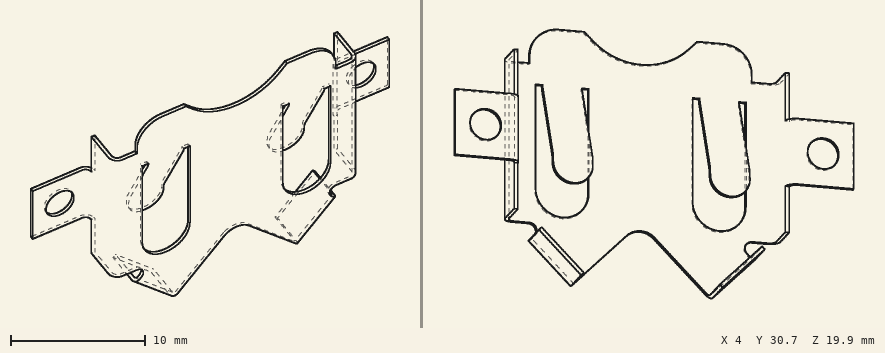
import cadquery as cq
import math

SHEET = 0.3
OVERALL_WIDTH = 30.7
OVERALL_HEIGHT = 19.94

TOP_Z = 9.08
SHOULDER_Y = 8.55
SHOULDER_RADIUS = 2.2
TOP_NOTCH_FLOOR_Z = 6.9
TOP_NOTCH_RADIUS = 5.25
BOTTOM_NOTCH_ROOF_Z = -6.03
BOTTOM_NOTCH_RADIUS = 1.5
RELIEF_RADIUS = 0.57

WALL_OUTER_Y = 10.6
WALL_TOP_Z = 6.28
WALL_BOTTOM_Z = -6.12
WALL_BEND_RADIUS = 0.48
TAB_END_Y = OVERALL_WIDTH / 2
TAB_FACE_HEIGHT = 4.0
TAB_WIDTH = 5.1
TAB_HOLE_Y = 13.0
TAB_HOLE_DIAMETER = 2.4

BOTTOM_Z = TOP_Z - OVERALL_HEIGHT
FOOT_WIDTH = 4.6
FOOT_HEIGHT = 3.27
FOOT_BEND_RADIUS = 0.25

WINDOW_Y = 6.05
WINDOW_WIDTH = 4.1
WINDOW_TOP_Z = 4.67
WINDOW_BOTTOM_Z = -5.5
FINGER_WIDTH = 3.04
FINGER_TIP_Z = -3.76
FINGER_SLOPE = 25.0
FINGER_TIP_SLOPE = 5.8
FINGER_LENGTH = 6.6
FINGER_BEND_RADIUS = 0.4

DIAGONAL = math.sqrt(0.5)

EDGE_TOP_Z = BOTTOM_NOTCH_ROOF_Z - BOTTOM_NOTCH_RADIUS + BOTTOM_NOTCH_RADIUS / DIAGONAL
FOOT_CORNER_Y = EDGE_TOP_Z - BOTTOM_Z
FOOT_BEND_DEPTH = FOOT_BEND_RADIUS + SHEET
FOOT_BEND_START = (
    FOOT_CORNER_Y - FOOT_BEND_DEPTH * DIAGONAL,
    BOTTOM_Z + FOOT_BEND_DEPTH * DIAGONAL,
)
FOOT_BEND_END = (
    FOOT_BEND_START[0] + FOOT_WIDTH * DIAGONAL,
    FOOT_BEND_START[1] + FOOT_WIDTH * DIAGONAL,
)

WALL_BEND_DEPTH = WALL_BEND_RADIUS + SHEET
WALL_BEND_Y = WALL_OUTER_Y - WALL_BEND_DEPTH
WALL_HEIGHT = TAB_FACE_HEIGHT - WALL_BEND_DEPTH


def straight(length):
    return ("straight", length, 0.0)


def bend(angle, inner_radius):
    """A bend by an angle in degrees; positive bends turn left of the direction of travel."""
    return ("bend", inner_radius, math.radians(angle))


def on_bend(center, side, radius, heading):
    """Point on a bend arc where travel has a given heading; side is 1 for left bends, -1 for right."""
    return (
        center[0] + side * radius * math.sin(heading),
        center[1] - side * radius * math.cos(heading),
    )


def bent_strip(start, direction, axis, width, moves):
    """Sheet strip whose back face starts at a point and follows straight and bend moves.

    The sheet thickness lies left of the direction of travel, seen against the axis.
    The width is centred on the starting point along the axis.
    """
    u, v, heading = 0.0, 0.0, 0.0
    profile = cq.Workplane(cq.Plane(origin=start, xDir=direction, normal=axis))
    strip = None
    for kind, size, angle in moves:
        normal = (-math.sin(heading), math.cos(heading))
        piece = profile.moveTo(u, v)
        front = (u + SHEET * normal[0], v + SHEET * normal[1])
        if kind == "straight":
            u += size * math.cos(heading)
            v += size * math.sin(heading)
            piece = piece.lineTo(u, v)
            piece = piece.lineTo(u + SHEET * normal[0], v + SHEET * normal[1])
            piece = piece.lineTo(*front)
        else:
            side = math.copysign(1.0, angle)
            back_radius = size + SHEET if angle > 0 else size
            front_radius = size if angle > 0 else size + SHEET
            center = (u + side * back_radius * normal[0], v + side * back_radius * normal[1])
            middle = heading + angle / 2
            heading += angle
            u, v = on_bend(center, side, back_radius, heading)
            piece = piece.threePointArc(on_bend(center, side, back_radius, middle), (u, v))
            piece = piece.lineTo(*on_bend(center, side, front_radius, heading))
            piece = piece.threePointArc(on_bend(center, side, front_radius, middle), front)
        solid = piece.close().extrude(width / 2, both=True)
        strip = solid if strip is None else strip.union(solid)
    return strip


def sheet_plane():
    """YZ plane on the front face of the flat plate, facing +X."""
    return cq.Workplane("YZ", origin=(-SHEET, 0, 0))


def on_notch(center_z, reach):
    """Point halfway along a 45 degree notch arc; a negative reach goes down from the centre."""
    half_span = math.radians(45 / 2)
    return (abs(reach) * math.sin(half_span), center_z + reach * math.cos(half_span))


def half_plate():
    """Flat part of the sheet on the +Y side."""
    top_center_z = TOP_NOTCH_FLOOR_Z + TOP_NOTCH_RADIUS
    top_tangent = (TOP_NOTCH_RADIUS * DIAGONAL, top_center_z - TOP_NOTCH_RADIUS * DIAGONAL)
    top_corner_y = top_tangent[0] + TOP_Z - top_tangent[1]
    bottom_center_z = BOTTOM_NOTCH_ROOF_Z - BOTTOM_NOTCH_RADIUS
    bottom_tangent = (
        BOTTOM_NOTCH_RADIUS * DIAGONAL,
        bottom_center_z + BOTTOM_NOTCH_RADIUS * DIAGONAL,
    )
    top_middle = on_notch(top_center_z, -TOP_NOTCH_RADIUS)
    bottom_middle = on_notch(bottom_center_z, BOTTOM_NOTCH_RADIUS)

    relief_z = WALL_BOTTOM_Z - RELIEF_RADIUS
    foot_end_sum = FOOT_BEND_END[0] + FOOT_BEND_END[1]
    relief_y = foot_end_sum + RELIEF_RADIUS / DIAGONAL - relief_z
    relief_tangent = (relief_y - RELIEF_RADIUS * DIAGONAL, relief_z - RELIEF_RADIUS * DIAGONAL)

    return (
        sheet_plane()
        .moveTo(0, TOP_NOTCH_FLOOR_Z)
        .threePointArc(top_middle, top_tangent)
        .lineTo(top_corner_y, TOP_Z)
        .lineTo(SHOULDER_Y - SHOULDER_RADIUS, TOP_Z)
        .radiusArc((SHOULDER_Y, TOP_Z - SHOULDER_RADIUS), SHOULDER_RADIUS)
        .lineTo(SHOULDER_Y, WALL_TOP_Z)
        .lineTo(WALL_BEND_Y, WALL_TOP_Z)
        .lineTo(WALL_BEND_Y, WALL_BOTTOM_Z)
        .lineTo(relief_y, WALL_BOTTOM_Z)
        .threePointArc((relief_y - RELIEF_RADIUS, relief_z), relief_tangent)
        .lineTo(*FOOT_BEND_END)
        .lineTo(*FOOT_BEND_START)
        .lineTo(*bottom_tangent)
        .threePointArc(bottom_middle, (0, BOTTOM_NOTCH_ROOF_Z))
        .close()
        .extrude(SHEET)
    )


def round_ended_blank(plane, width, top_z, bottom_z, depth):
    """Block centred on the window, square at the top and round at the bottom."""
    radius = width / 2
    left = WINDOW_Y - radius
    right = WINDOW_Y + radius
    return (
        plane.moveTo(left, top_z)
        .lineTo(left, bottom_z + radius)
        .threePointArc((WINDOW_Y, bottom_z), (right, bottom_z + radius))
        .lineTo(right, top_z)
        .close()
        .extrude(depth)
    )


def window():
    return round_ended_blank(sheet_plane(), WINDOW_WIDTH, WINDOW_TOP_Z, WINDOW_BOTTOM_Z, SHEET)


def finger():
    spare = WINDOW_TOP_Z - FINGER_TIP_Z
    strip = bent_strip(
        (0, WINDOW_Y, WINDOW_TOP_Z),
        (0, 0, -1),
        (0, 1, 0),
        FINGER_WIDTH,
        [
            bend(FINGER_SLOPE, FINGER_BEND_RADIUS),
            straight(FINGER_LENGTH),
            bend(FINGER_TIP_SLOPE - FINGER_SLOPE, FINGER_BEND_RADIUS),
            straight(spare),
        ],
    )
    plane = cq.Workplane("YZ", origin=(-spare, 0, 0))
    return strip.intersect(
        round_ended_blank(plane, FINGER_WIDTH, WINDOW_TOP_Z, FINGER_TIP_Z, spare)
    )


def wall():
    return bent_strip(
        (0, WALL_BEND_Y, (WALL_TOP_Z + WALL_BOTTOM_Z) / 2),
        (0, 1, 0),
        (0, 0, 1),
        WALL_TOP_Z - WALL_BOTTOM_Z,
        [bend(90, WALL_BEND_RADIUS), straight(WALL_HEIGHT - WALL_BEND_DEPTH)],
    )


def tab():
    flat_length = TAB_END_Y - WALL_OUTER_Y - WALL_BEND_RADIUS
    strip = bent_strip(
        (-WALL_HEIGHT, WALL_OUTER_Y, 0),
        (-1, 0, 0),
        (0, 0, 1),
        TAB_WIDTH,
        [bend(-90, WALL_BEND_RADIUS), straight(flat_length)],
    )
    hole = (
        cq.Workplane("YZ", origin=(-TAB_FACE_HEIGHT, 0, 0))
        .center(TAB_HOLE_Y, 0)
        .circle(TAB_HOLE_DIAMETER / 2)
        .extrude(SHEET)
    )
    return strip.cut(hole)


def foot():
    middle_y = (FOOT_BEND_START[0] + FOOT_BEND_END[0]) / 2
    middle_z = (FOOT_BEND_START[1] + FOOT_BEND_END[1]) / 2
    return bent_strip(
        (0, middle_y, middle_z),
        (0, 1, -1),
        (0, 1, 1),
        FOOT_WIDTH,
        [bend(90, FOOT_BEND_RADIUS), straight(FOOT_HEIGHT - FOOT_BEND_DEPTH)],
    )


half = half_plate().cut(window())
for bent_part in (finger(), wall(), tab(), foot()):
    half = half.union(bent_part)

result = half.union(half.mirror("XZ"))